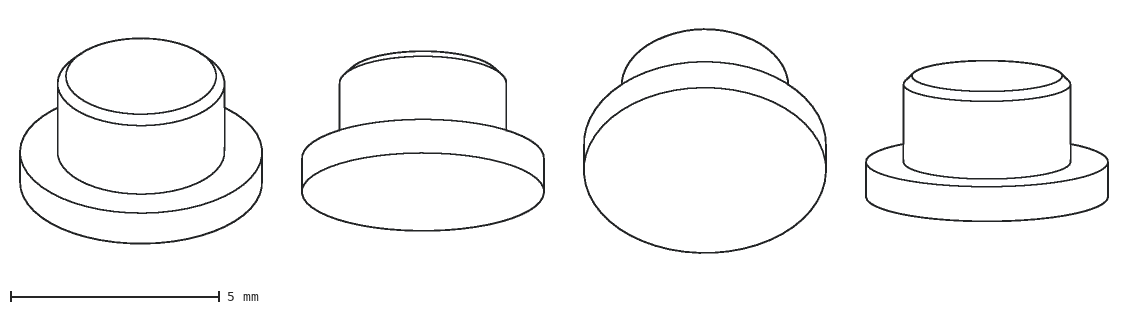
import cadquery as cq

flange_diameter = 5.8
flange_thickness = 0.85
pin_diameter = 4.0
total_height = 2.95
chamfer_size = 0.2

pin_height = total_height - flange_thickness


def make_flange():
    """Round flange resting on the XY plane."""
    return cq.Workplane("XY").circle(flange_diameter / 2).extrude(flange_thickness)


def make_pin():
    """Cylindrical pin on top of the flange, with a chamfered top edge."""
    pin = (
        cq.Workplane("XY")
        .workplane(offset=flange_thickness)
        .circle(pin_diameter / 2)
        .extrude(pin_height)
    )
    return pin.faces(">Z").edges().chamfer(chamfer_size)


result = make_flange().union(make_pin())